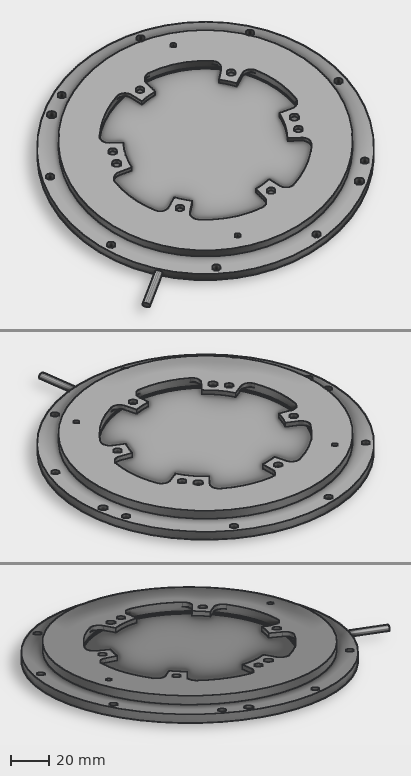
import cadquery as cq
import math

TOTAL_LENGTH = 198.8

SPIGOT_HEIGHT = 3.0
FLANGE_THICKNESS = 5.0
AIR_GAP = 1.0
RING_THICKNESS = 5.0

FLANGE_BOTTOM = SPIGOT_HEIGHT
FLANGE_TOP = FLANGE_BOTTOM + FLANGE_THICKNESS
RING_BOTTOM = FLANGE_TOP + AIR_GAP
RING_TOP = RING_BOTTOM + RING_THICKNESS

FLANGE_RADIUS = 87.6
SPIGOT_RADIUS = 75.0
FLANGE_HOLE_CIRCLE = 83.3
FLANGE_HOLE_DIAMETER = 4.4
FLANGE_HOLE_COUNT = 9
DOWEL_HOLE_DIAMETER = 5.0
DOWEL_ANGLES = (0, 180)
RECESS_RADIUS = 55.6
RECESS_DEPTH = 0.8

RING_RADIUS = 76.5
BORE_RADIUS = 55.3
TAB_TIP_RADIUS = 42.7
TAB_THICKNESS = 2.5
TAB_FILLET = 5.0
RING_TURN = 0.3
NARROW_TAB_ANGLES = (90, 150, 270, 330)
NARROW_TAB_HALF_ANGLE = 6.5
WIDE_TAB_ANGLES = (30, 210)
WIDE_TAB_HALF_ANGLE = 12.0
TAB_HOLE_CIRCLE = 48.9
TAB_HOLE_DIAMETER = 4.5
TAB_DOWEL_DIAMETER = 5.0
PAIR_HALF_ANGLE = 5.0
SMALL_HOLE_CIRCLE = 68.2
SMALL_HOLE_DIAMETER = 3.2
SMALL_HOLE_ANGLES = (120, 300)

CABLE_WIDTH = 4.2
CABLE_THICKNESS = 3.2
CABLE_HEIGHT = 5.2
SOCKET_DEPTH = 4.0
CABLE_START = FLANGE_RADIUS - SOCKET_DEPTH
CABLE_END = TOTAL_LENGTH - FLANGE_RADIUS


def disc(radius, bottom, height):
    return cq.Workplane("XY").workplane(offset=bottom).circle(radius).extrude(height)


def polar_point(radius, angle):
    turn = math.radians(angle)
    return radius * math.cos(turn), radius * math.sin(turn)


def drill(body, diameter, circle_radius, angles):
    """Cut vertical through holes at the given angles on a circle about Z."""
    points = [polar_point(circle_radius, angle) for angle in angles]
    cutters = cq.Workplane("XY").pushPoints(points).circle(diameter / 2).extrude(RING_TOP)
    return body.cut(cutters)


def make_base():
    base = disc(SPIGOT_RADIUS, 0, SPIGOT_HEIGHT).union(
        disc(FLANGE_RADIUS, FLANGE_BOTTOM, FLANGE_THICKNESS)
    )
    base = base.cut(disc(RECESS_RADIUS, FLANGE_TOP - RECESS_DEPTH, RECESS_DEPTH))
    hole_angles = [90 + i * 360 / FLANGE_HOLE_COUNT for i in range(FLANGE_HOLE_COUNT)]
    base = drill(base, FLANGE_HOLE_DIAMETER, FLANGE_HOLE_CIRCLE, hole_angles)
    return drill(base, DOWEL_HOLE_DIAMETER, FLANGE_HOLE_CIRCLE, DOWEL_ANGLES)


def make_tab(angle, half_angle):
    """Sector tab with radial sides, blended into the bore by a fillet on each side."""
    fillet_circle = BORE_RADIUS - TAB_FILLET
    fillet_angle = math.degrees(math.asin(TAB_FILLET / fillet_circle))
    side_end_radius = math.sqrt(fillet_circle**2 - TAB_FILLET**2)
    first_side = angle - half_angle
    last_side = angle + half_angle
    first_root = first_side - fillet_angle
    last_root = last_side + fillet_angle

    def fillet_middle(side, root):
        """Point of the fillet arc nearest the corner it rounds off."""
        center = polar_point(fillet_circle, root)
        corner = polar_point(BORE_RADIUS, side)
        reach = TAB_FILLET / math.dist(center, corner)
        return tuple(c + reach * (p - c) for c, p in zip(center, corner))

    root_radius = (BORE_RADIUS + RING_RADIUS) / 2
    return (
        cq.Workplane("XY")
        .workplane(offset=RING_TOP - TAB_THICKNESS)
        .moveTo(*polar_point(TAB_TIP_RADIUS, first_side))
        .threePointArc(polar_point(TAB_TIP_RADIUS, angle), polar_point(TAB_TIP_RADIUS, last_side))
        .lineTo(*polar_point(side_end_radius, last_side))
        .threePointArc(fillet_middle(last_side, last_root), polar_point(BORE_RADIUS, last_root))
        .lineTo(*polar_point(root_radius, last_root))
        .lineTo(*polar_point(root_radius, first_root))
        .lineTo(*polar_point(BORE_RADIUS, first_root))
        .threePointArc(fillet_middle(first_side, first_root), polar_point(side_end_radius, first_side))
        .close()
        .extrude(TAB_THICKNESS)
    )


def make_ring():
    ring = disc(RING_RADIUS, RING_BOTTOM, RING_THICKNESS).cut(
        disc(BORE_RADIUS, RING_BOTTOM, RING_THICKNESS)
    )
    for angle in NARROW_TAB_ANGLES:
        ring = ring.union(make_tab(angle, NARROW_TAB_HALF_ANGLE))
    for angle in WIDE_TAB_ANGLES:
        ring = ring.union(make_tab(angle, WIDE_TAB_HALF_ANGLE))

    screw_angles = [*NARROW_TAB_ANGLES, *(angle - PAIR_HALF_ANGLE for angle in WIDE_TAB_ANGLES)]
    dowel_angles = [angle + PAIR_HALF_ANGLE for angle in WIDE_TAB_ANGLES]
    ring = drill(ring, TAB_HOLE_DIAMETER, TAB_HOLE_CIRCLE, screw_angles)
    ring = drill(ring, TAB_DOWEL_DIAMETER, TAB_HOLE_CIRCLE, dowel_angles)
    ring = drill(ring, SMALL_HOLE_DIAMETER, SMALL_HOLE_CIRCLE, SMALL_HOLE_ANGLES)
    return ring.rotate((0, 0, 0), (0, 0, 1), RING_TURN)


def make_cable():
    """Cable of oval section, its inner end held inside the flange."""
    return (
        cq.Workplane("XZ")
        .workplane(offset=CABLE_START)
        .center(0, CABLE_HEIGHT)
        .slot2D(CABLE_WIDTH, CABLE_THICKNESS)
        .extrude(CABLE_END - CABLE_START)
    )


cable = make_cable()
base = make_base().cut(cable)
ring = make_ring()

result = cq.Compound.makeCompound([base.val(), ring.val(), cable.val()])